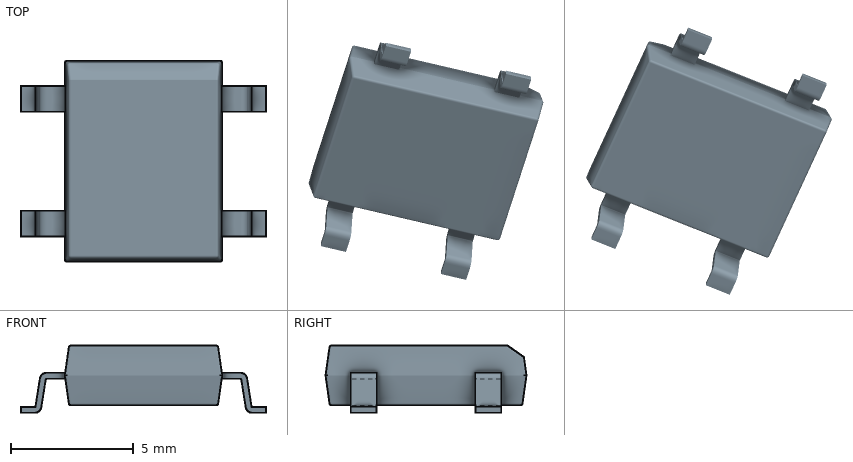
import cadquery as cq
import math

BODY_LENGTH_X = 6.42
BODY_LENGTH_Y = 8.2
BODY_BOTTOM_Z = 0.31
BODY_TOP_Z = 2.75
PARTING_Z = (BODY_BOTTOM_Z + BODY_TOP_Z) / 2
HALF_HEIGHT = PARTING_Z - BODY_BOTTOM_Z
DRAFT_ANGLE = 8.0
EDGE_RADIUS = 0.1

BEVEL_FOOT_DROP = 0.47
BEVEL_TOP_INSET = 0.78
BEVEL_EDGE_RADIUS = 0.05

LEAD_SPAN = 10.0
LEAD_PITCH = 5.08
LEAD_WIDTH = 1.06
LEAD_THICKNESS = 0.25
LEAD_TOP_Z = 1.64
LEAD_LEAN = 9.0
FOOT_LENGTH = 0.59
INNER_BEND_RADIUS = 0.03
OUTER_BEND_RADIUS = INNER_BEND_RADIUS + LEAD_THICKNESS
LEAD_EMBED = 0.5


def body_half(direction):
    """Drafted half extruded from the parting plane, up (+1) or down (-1)."""
    plane = cq.Plane(origin=(0, 0, PARTING_Z), xDir=(1, 0, 0), normal=(0, 0, direction))
    return cq.Workplane(plane).rect(BODY_LENGTH_X, BODY_LENGTH_Y).extrude(HALF_HEIGHT, taper=DRAFT_ANGLE)


def bevel_cutter():
    """Wedge that removes the +Y top edge of the upper half."""
    draft = math.tan(math.radians(DRAFT_ANGLE))
    parting_y = BODY_LENGTH_Y / 2
    foot = (parting_y - (HALF_HEIGHT - BEVEL_FOOT_DROP) * draft, BODY_TOP_Z - BEVEL_FOOT_DROP)
    top = (parting_y - BEVEL_TOP_INSET, BODY_TOP_Z)
    run = (foot[0] - top[0], foot[1] - top[1])
    above = (top[0] - run[0], top[1] - run[1])
    outside = (foot[0] + run[0], foot[1] + run[1])
    corner = (outside[0], above[1])
    return cq.Workplane("YZ").polyline([above, outside, corner]).close().extrude(BODY_LENGTH_X, both=True)


def make_body():
    """Both halves with rounded edges; the parting line stays sharp."""
    upper = body_half(1).cut(bevel_cutter())
    margin = 0.1
    zone_low = (-margin, 0, PARTING_Z + margin)
    zone_high = (margin, BODY_LENGTH_Y, BODY_TOP_Z + margin)
    bevel_edges = cq.selectors.BoxSelector(zone_low, zone_high)
    other_edges = cq.selectors.StringSyntaxSelector("not <Z") - bevel_edges
    upper = upper.edges(other_edges).fillet(EDGE_RADIUS)
    upper = upper.edges(bevel_edges).fillet(BEVEL_EDGE_RADIUS)
    lower = body_half(-1)
    lower = lower.edges("not >Z").fillet(EDGE_RADIUS)
    return upper.union(lower)


def make_lead():
    """Lead on the -X side, centred on Y = 0, with its end inside the body."""
    lean = math.radians(LEAD_LEAN)
    under_z = LEAD_TOP_Z - LEAD_THICKNESS
    leg_width = LEAD_THICKNESS / math.cos(lean)
    tip_x = -LEAD_SPAN / 2
    heel_x = tip_x + FOOT_LENGTH

    def leg_outer_x(z):
        return heel_x + (z - LEAD_THICKNESS) * math.tan(lean)

    root_x = -BODY_LENGTH_X / 2 + LEAD_EMBED
    shoulder_outer = (leg_outer_x(LEAD_TOP_Z), LEAD_TOP_Z)
    shoulder_inner = (leg_outer_x(under_z) + leg_width, under_z)
    heel_outer = (leg_outer_x(0) + leg_width, 0)
    heel_inner = (heel_x, LEAD_THICKNESS)
    profile = [
        (tip_x, 0),
        heel_outer,
        shoulder_inner,
        (root_x, under_z),
        (root_x, LEAD_TOP_Z),
        shoulder_outer,
        heel_inner,
        (tip_x, LEAD_THICKNESS),
    ]
    lead = cq.Workplane("XZ").polyline(profile).close().extrude(LEAD_WIDTH / 2, both=True)

    def round_bend(solid, corner, radius):
        x, z = corner
        return solid.edges(cq.selectors.NearestToPointSelector((x, 0, z))).fillet(radius)

    for corner in (shoulder_outer, heel_outer):
        lead = round_bend(lead, corner, OUTER_BEND_RADIUS)
    return round_bend(lead, shoulder_inner, INNER_BEND_RADIUS)


result = make_body()
left_lead = make_lead()
right_lead = left_lead.mirror("YZ")
for lead_y in (-LEAD_PITCH / 2, LEAD_PITCH / 2):
    for lead in (left_lead, right_lead):
        result = result.union(lead.translate((0, lead_y, 0)))